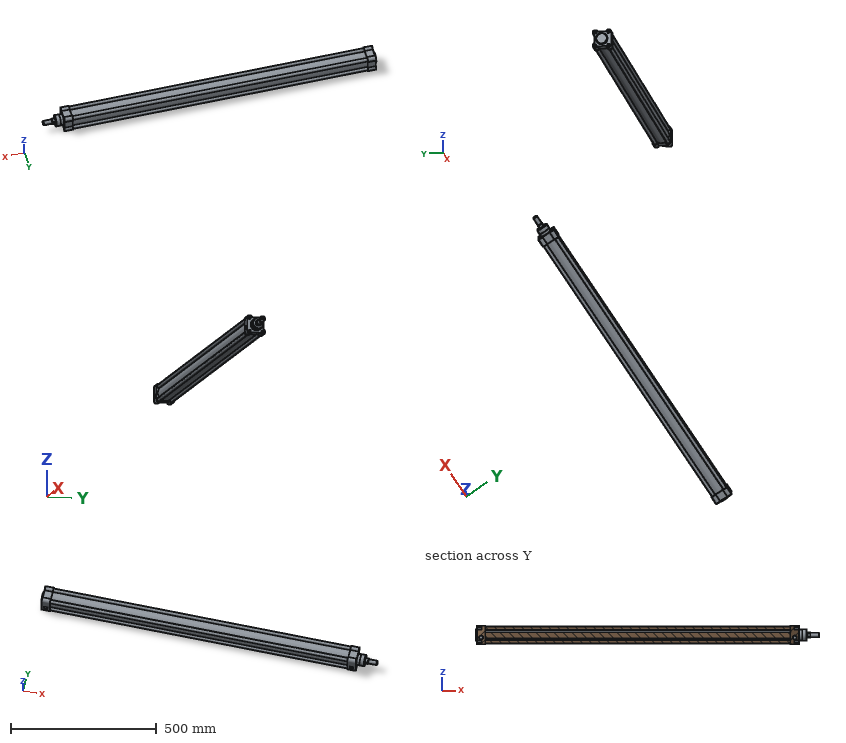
import cadquery as cq
import math

total_length = 1179.0
rear_boss_length = 4.0
cap_length = 30.0
front_cap_end = 1110.0
front_boss_end = 1137.0
rod_shoulder = 1149.0
rear_cap_end = rear_boss_length + cap_length
front_cap_start = front_cap_end - cap_length

cap_width = 65.0
cap_half = cap_width / 2
cap_waist = 53.0
lobe_radius = 9.2
screw_offset = cap_half - lobe_radius
screw_hole_diameter = 8.0
screw_hole_depth = 17.0
port_diameter = 13.0
port_depth = 14.0
port_z = -8.8

boss_radius = 20.0
boss_neck_step = 0.5
boss_neck_radius = boss_radius - boss_neck_step
boss_neck_end = 1120.0
boss_chamfer = 1.8

barrel_radius = 27.0
bead_radius = 6.6
rib_half_width = 5.3
rib_radius = 14.0

rod_radius = 10.0
rod_chamfer = 1.8
thread_radius = 8.0
thread_chamfer = 2.0
flat_half_width = 8.5
flat_start = 1139.0


def disc(radius, start, end):
    """Round bar along the X axis."""
    return cq.Workplane("YZ", origin=(start, 0, 0)).circle(radius).extrude(end - start)


def corner_bars(radius, start, end):
    """Four round bars along X, one at each screw position."""
    spacing = 2 * screw_offset
    return (
        cq.Workplane("YZ", origin=(start, 0, 0))
        .rect(spacing, spacing, forConstruction=True)
        .vertices()
        .circle(radius)
        .extrude(end - start)
    )


def make_cap_block(start, screw_face, inward):
    """Cap with corner lobes, a flat port face on -Y, a port and four screw holes.

    The screw holes enter at X = screw_face and run in the X direction given by inward (1 or -1).
    """
    end = start + cap_length
    waist = cq.Workplane("YZ", origin=(start, 0, 0)).rect(cap_waist, cap_waist).extrude(cap_length)
    cap = waist.union(corner_bars(lobe_radius, start, end))

    port_pad = (
        cq.Workplane("XY")
        .box(cap_length, cap_half, 2 * screw_offset, centered=(False, False, True))
        .translate((start, -cap_half, 0))
    )
    cap = cap.union(port_pad)

    port = (
        cq.Workplane("XZ", origin=(start + cap_length / 2, -cap_half, port_z))
        .circle(port_diameter / 2)
        .extrude(-port_depth)
    )
    screw_ends = sorted((screw_face, screw_face + inward * screw_hole_depth))
    return cap.cut(port).cut(corner_bars(screw_hole_diameter / 2, *screw_ends))


def make_rear_cap():
    """Rear cap with a low chamfered guide boss."""
    cap = make_cap_block(rear_boss_length, rear_boss_length, 1)
    boss = disc(boss_radius, 0, rear_boss_length).faces("<X").chamfer(boss_chamfer)
    return cap.union(boss)


def make_front_cap():
    """Front cap with a stepped guide boss, bored through for the rod."""
    cap = make_cap_block(front_cap_start, front_cap_end, -1)
    boss = disc(boss_radius, boss_neck_end, front_boss_end).faces(">X").chamfer(boss_chamfer)
    neck = disc(boss_neck_radius, front_cap_end, boss_neck_end)
    rod_bore = disc(rod_radius, front_cap_start, front_boss_end)
    return cap.union(neck).union(boss).cut(rod_bore)


def polar(radius, angle):
    """Point in the YZ plane at a radius and an angle, in radians from the +Y axis."""
    return (radius * math.cos(angle), radius * math.sin(angle))


def quarter_turned(point, turns):
    """Point of the YZ plane turned about the X axis by a number of quarter turns."""
    y, z = point
    for _ in range(turns):
        y, z = -z, y
    return (y, z)


def make_barrel():
    """Solid barrel between the caps, extruded along X from an outline of arcs."""
    rib_edge_angle = math.asin(rib_half_width / barrel_radius)
    rib_center = barrel_radius * math.cos(rib_edge_angle) - math.sqrt(rib_radius**2 - rib_half_width**2)
    rib_crest = rib_center + rib_radius

    diagonal = math.pi / 4
    bead_center = screw_offset * math.sqrt(2)
    bead_half_angle = math.acos(
        (barrel_radius**2 + bead_center**2 - bead_radius**2) / (2 * barrel_radius * bead_center)
    )
    bead_start = diagonal - bead_half_angle
    bead_end = diagonal + bead_half_angle
    wall_middle = (rib_edge_angle + bead_start) / 2

    right_angle = math.pi / 2
    quarter_arcs = [
        (polar(barrel_radius, wall_middle), polar(barrel_radius, bead_start)),
        (polar(bead_center + bead_radius, diagonal), polar(barrel_radius, bead_end)),
        (
            polar(barrel_radius, right_angle - wall_middle),
            polar(barrel_radius, right_angle - rib_edge_angle),
        ),
        (polar(rib_crest, right_angle), polar(barrel_radius, right_angle + rib_edge_angle)),
    ]
    outline = cq.Workplane("YZ", origin=(rear_cap_end, 0, 0))
    outline = outline.moveTo(*polar(barrel_radius, rib_edge_angle))
    for turns in range(4):
        for middle, end in quarter_arcs:
            outline = outline.threePointArc(quarter_turned(middle, turns), quarter_turned(end, turns))
    return outline.close().extrude(front_cap_start - rear_cap_end)


def make_rod():
    """Rod with a threaded tip and two wrench flats beside the thread."""
    rod = disc(rod_radius, front_cap_start, rod_shoulder).faces(">X").chamfer(rod_chamfer)
    flats = (
        cq.Workplane("XY")
        .box(rod_shoulder - flat_start, 2 * rod_radius, 2 * rod_radius, centered=(False, False, True))
        .translate((flat_start, flat_half_width, 0))
    )
    rod = rod.cut(flats).cut(flats.mirror("XZ"))
    thread = disc(thread_radius, rod_shoulder, total_length).faces(">X").chamfer(thread_chamfer)
    return rod.union(thread)


rear_cap = make_rear_cap()
barrel = make_barrel()
front_cap = make_front_cap()
rod = make_rod()

result = cq.Compound.makeCompound([rear_cap.val(), barrel.val(), front_cap.val(), rod.val()])